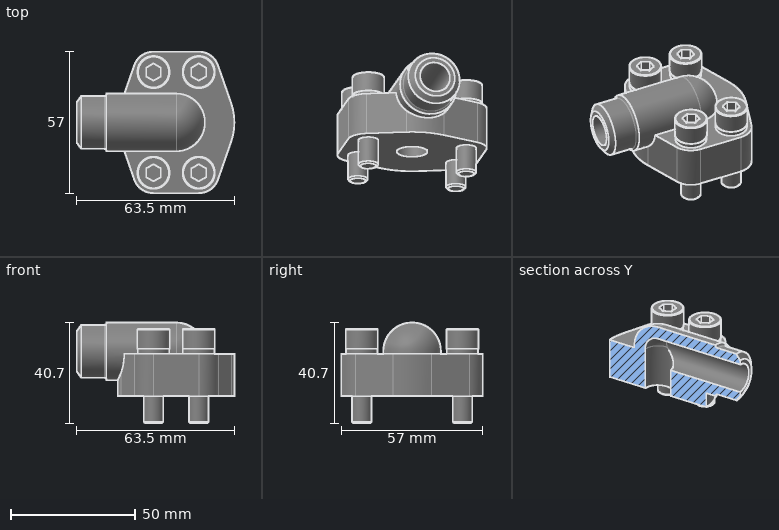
import cadquery as cq
import math

flange_height = 17.0
flange_width_y = 57.0
flange_end_radius = 23.5
bolt_spacing_x = 18.2
bolt_spacing_y = 40.5

pipe_axis_z = 18.0
pipe_diameter = 23.3
bore_diameter = 12.3
pipe_reach = 40.0
spigot_diameter = 21.3
spigot_land = 2.0
bevel_length = 1.8
shoulder_x = -28.0

screw_diameter = 8.0
screw_length = 30.0
screw_tip_chamfer = 0.75
head_diameter = 13.0
head_height = 8.0
head_chamfer = 0.3
hex_across_flats = 6.0
hex_depth = 4.0
washer_diameter = 12.7
washer_thickness = 2.0

bolt_x = bolt_spacing_x / 2
bolt_y = bolt_spacing_y / 2
corner_radius = flange_width_y / 2 - bolt_y
pipe_radius = pipe_diameter / 2
bore_radius = bore_diameter / 2
spigot_radius = spigot_diameter / 2
spigot_end_radius = bore_radius + spigot_land
shoulder_fillet = pipe_radius - spigot_radius
head_seat_z = flange_height + washer_thickness
head_top_z = head_seat_z + head_height


def make_flange():
    """Block whose slanted sides are tangent to the corner arcs and the end arcs."""
    corner_distance = math.hypot(bolt_x, bolt_y)
    corner_direction = math.atan2(bolt_y, bolt_x)
    tangent_angle = corner_direction - math.acos((flange_end_radius - corner_radius) / corner_distance)
    normal_x = math.cos(tangent_angle)
    normal_y = math.sin(tangent_angle)
    end_x = flange_end_radius * normal_x
    end_y = flange_end_radius * normal_y
    corner_x = bolt_x + corner_radius * normal_x
    corner_y = bolt_y + corner_radius * normal_y
    middle_angle = (tangent_angle + math.pi / 2) / 2
    middle_x = bolt_x + corner_radius * math.cos(middle_angle)
    middle_y = bolt_y + corner_radius * math.sin(middle_angle)
    side_y = flange_width_y / 2
    return (
        cq.Workplane("XY")
        .moveTo(end_x, -end_y)
        .threePointArc((flange_end_radius, 0), (end_x, end_y))
        .lineTo(corner_x, corner_y)
        .threePointArc((middle_x, middle_y), (bolt_x, side_y))
        .lineTo(-bolt_x, side_y)
        .threePointArc((-middle_x, middle_y), (-corner_x, corner_y))
        .lineTo(-end_x, end_y)
        .threePointArc((-flange_end_radius, 0), (-end_x, -end_y))
        .lineTo(-corner_x, -corner_y)
        .threePointArc((-middle_x, -middle_y), (-bolt_x, -side_y))
        .lineTo(bolt_x, -side_y)
        .threePointArc((middle_x, -middle_y), (corner_x, -corner_y))
        .close()
        .extrude(flange_height)
    )


def make_corner_ball(radius):
    """Ball where the pipe axis turns down towards the flange face."""
    return cq.Workplane("XY").sphere(radius).translate((0, 0, pipe_axis_z))


def make_pipe():
    """Outer pipe: bevelled spigot, concave shoulder and full-size barrel with a domed end."""
    fillet_start_x = shoulder_x - shoulder_fillet
    fillet_offset = shoulder_fillet * math.sqrt(0.5)
    fillet_middle = (fillet_start_x + fillet_offset, pipe_radius - fillet_offset)
    horizontal_leg = (
        cq.Workplane("XY")
        .moveTo(-pipe_reach, 0)
        .lineTo(-pipe_reach, spigot_end_radius)
        .lineTo(-pipe_reach + bevel_length, spigot_radius)
        .lineTo(fillet_start_x, spigot_radius)
        .threePointArc(fillet_middle, (shoulder_x, pipe_radius))
        .lineTo(0, pipe_radius)
        .lineTo(0, 0)
        .close()
        .revolve(360, (0, 0, 0), (1, 0, 0))
        .translate((0, 0, pipe_axis_z))
    )
    return horizontal_leg.union(make_corner_ball(pipe_radius))


def make_bore():
    """Flow passage from the spigot face to the lower flange face."""
    horizontal_leg = (
        cq.Workplane("YZ", origin=(-pipe_reach, 0, 0))
        .center(0, pipe_axis_z)
        .circle(bore_radius)
        .extrude(pipe_reach)
    )
    vertical_leg = cq.Workplane("XY").circle(bore_radius).extrude(pipe_axis_z)
    return horizontal_leg.union(make_corner_ball(bore_radius)).union(vertical_leg)


def make_screw():
    """Socket head screw and washer on the Z axis, at its final height."""
    washer = (
        cq.Workplane("XY", origin=(0, 0, flange_height))
        .circle(washer_diameter / 2)
        .extrude(washer_thickness)
    )
    head = (
        cq.Workplane("XY", origin=(0, 0, head_seat_z))
        .circle(head_diameter / 2)
        .extrude(head_height)
        .faces(">Z")
        .chamfer(head_chamfer)
    )
    shank = (
        cq.Workplane("XY", origin=(0, 0, head_seat_z))
        .circle(screw_diameter / 2)
        .extrude(-screw_length)
        .faces("<Z")
        .chamfer(screw_tip_chamfer)
    )
    hex_across_corners = hex_across_flats / math.cos(math.pi / 6)
    socket = (
        cq.Workplane("XY", origin=(0, 0, head_top_z))
        .transformed(rotate=(0, 0, 90))
        .polygon(6, hex_across_corners)
        .extrude(-hex_depth)
    )
    return washer.union(head).union(shank).cut(socket)


result = make_flange().union(make_pipe()).cut(make_bore())
screw = make_screw()
for x in (-bolt_x, bolt_x):
    for y in (-bolt_y, bolt_y):
        result = result.union(screw.translate((x, y, 0)))